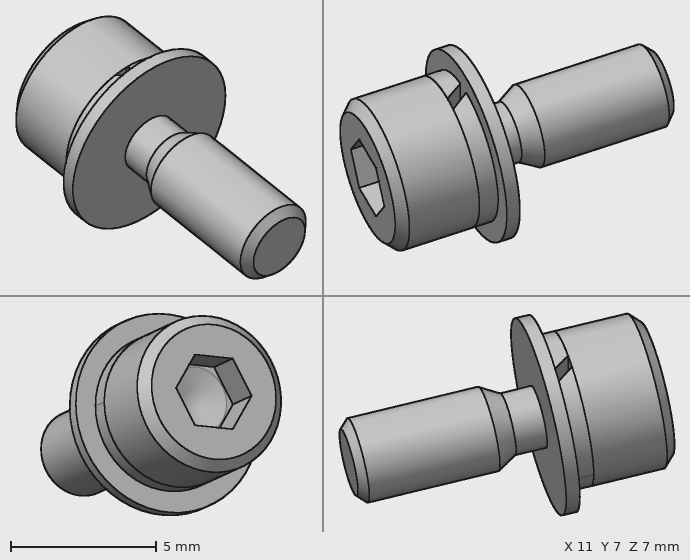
import cadquery as cq
import math


total_length = 11.0
head_diameter = 5.5
head_length = 3.0
head_chamfer = 0.37
neck_diameter = 2.2
neck_end = 5.31
thread_diameter = 3.0
thread_start = 6.01
tip_chamfer = 0.32

socket_across_flats = 2.5
socket_depth = 1.5
socket_cone_diameter = 2.38
socket_cone_angle = 150.0

ring_diameter = head_diameter
ring_thickness = 0.7
gap_width = 0.5

washer_diameter = 7.0
washer_thickness = 0.5

ring_start = head_length
washer_start = ring_start + ring_thickness


def make_screw_blank():
    """Revolve the half outline of the head, neck and threaded shank."""
    head_radius = head_diameter / 2
    neck_radius = neck_diameter / 2
    thread_radius = thread_diameter / 2
    outline = [
        (0, 0),
        (0, head_radius - head_chamfer),
        (head_chamfer, head_radius),
        (head_length, head_radius),
        (head_length, neck_radius),
        (neck_end, neck_radius),
        (thread_start, thread_radius),
        (total_length - tip_chamfer, thread_radius),
        (total_length, thread_radius - tip_chamfer),
        (total_length, 0),
    ]
    return cq.Workplane("XY").polyline(outline).close().revolve(360, (0, 0), (1, 0))


def make_socket():
    """Hexagonal recess, corners along Y, ending in a drilled cone."""
    across_corners = socket_across_flats / math.cos(math.radians(30))
    hexagon = cq.Workplane("YZ").polygon(6, across_corners).extrude(socket_depth)
    cone_radius = socket_cone_diameter / 2
    cone_depth = cone_radius / math.tan(math.radians(socket_cone_angle / 2))
    cone_outline = [
        (socket_depth, 0),
        (socket_depth, cone_radius),
        (socket_depth + cone_depth, 0),
    ]
    cone = cq.Workplane("XY").polyline(cone_outline).close().revolve(360, (0, 0), (1, 0))
    return hexagon.union(cone)


def make_annulus(start, thickness, diameter):
    """Flat ring that fits around the neck of the screw."""
    return (
        cq.Workplane("YZ", origin=(start, 0, 0))
        .circle(diameter / 2)
        .circle(neck_diameter / 2)
        .extrude(thickness)
    )


def make_spring_ring():
    """Ring split on its +Z side by a slanted gap that shifts by its own width."""
    ring = make_annulus(ring_start, ring_thickness, ring_diameter)
    gap_outline = [
        (ring_start, -gap_width),
        (ring_start, 0),
        (washer_start, gap_width),
        (washer_start, 0),
    ]
    gap = cq.Workplane("XY").polyline(gap_outline).close().extrude(ring_diameter / 2)
    return ring.cut(gap)


screw = make_screw_blank().cut(make_socket())
spring_ring = make_spring_ring()
washer = make_annulus(washer_start, washer_thickness, washer_diameter)

result = cq.Compound.makeCompound([screw.val(), spring_ring.val(), washer.val()])